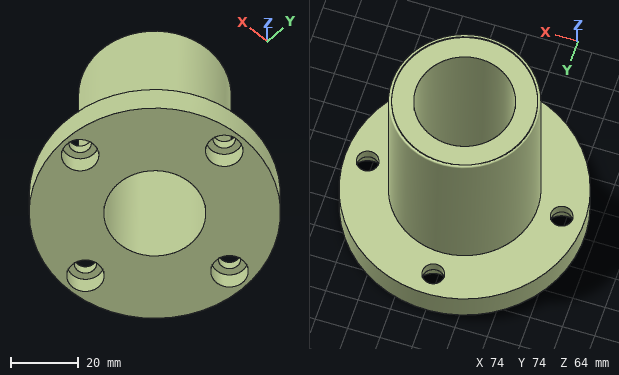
import cadquery as cq

flange_diameter = 74.0
flange_thickness = 10.0

sleeve_diameter = 45.0
bore_diameter = 30.0
total_height = 64.0
rim_width = 1.0
rim_fillet = 0.5
recess_depth = 0.5

hole_count = 4
hole_diameter = 6.6
hole_circle_radius = 30.0
counterbore_diameter = 11.0
counterbore_depth = 6.5


def make_flange():
    return cq.Workplane("XY").circle(flange_diameter / 2).extrude(flange_thickness)


def make_sleeve():
    sleeve = cq.Workplane("XY").circle(sleeve_diameter / 2).extrude(total_height)
    return sleeve.faces(">Z").edges().fillet(rim_fillet)


def make_end_recess():
    recess_radius = sleeve_diameter / 2 - rim_width
    floor = cq.Workplane("XY").workplane(offset=total_height - recess_depth)
    return floor.circle(recess_radius).extrude(recess_depth)


def make_bore():
    return cq.Workplane("XY").circle(bore_diameter / 2).extrude(total_height)


def make_hole_pattern(diameter, depth):
    """Cylinders on the hole circle, rising from the underside of the flange."""
    centers = cq.Workplane("XY").polarArray(hole_circle_radius, 0, 360, hole_count)
    return centers.circle(diameter / 2).extrude(depth)


body = make_flange().union(make_sleeve())
body = body.cut(make_end_recess()).cut(make_bore())
body = body.cut(make_hole_pattern(hole_diameter, flange_thickness))
result = body.cut(make_hole_pattern(counterbore_diameter, counterbore_depth))